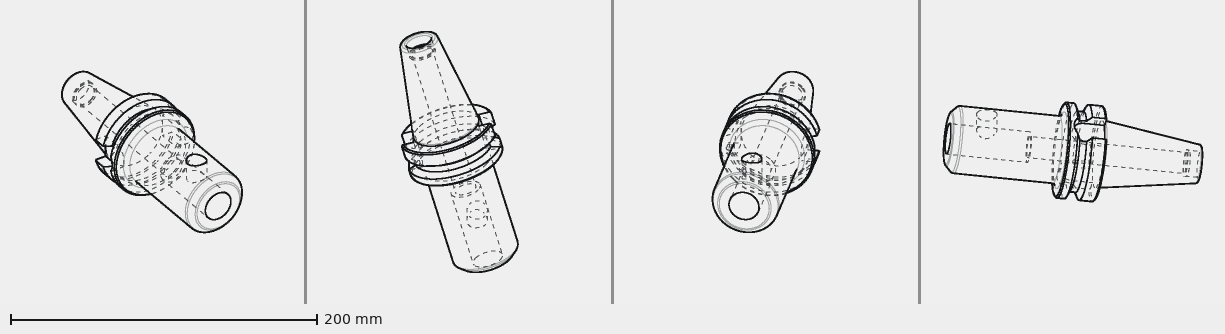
import cadquery as cq
import math

length = 167.0
taper_end = 65.6
flange_start = 67.1
groove_start = 76.8
groove_floor_start = 79.7
groove_floor_end = 84.2
groove_end = 86.7
flange_end = 92.5

body_diameter = 44.5
flange_diameter = 63.0
groove_diameter = 53.1
taper_rate = 7 / 24

small_end_fillet = 1.7
flange_chamfer = 1.0
root_fillet = 3.0
nose_chamfer = 4.8
nose_fillet = 2.0
end_face_fillet = 1.7

pilot_diameter = 17.0
pilot_depth = 7.0
mouth_fillet = 1.0
pilot_cone_length = 0.8
pilot_cone_diameter = 16.5
recess_diameter = 17.5
recess_end = 9.4
through_diameter = 13.9
shank_bore_diameter = 20.0
shank_bore_depth = 53.5
screw_hole_diameter = 13.4
screw_hole_x = 141.5

slot_width = 16.0
slot_end = 89.0

body_radius = body_diameter / 2
flange_radius = flange_diameter / 2
groove_radius = groove_diameter / 2
small_end_radius = body_radius - taper_end * taper_rate / 2


def revolve_about_x(profile):
    return profile.close().revolve(360, (0, 0, 0), (1, 0, 0))


def make_body():
    """Taper, grooved flange and cylindrical holder, turned as one solid."""
    root_radius = body_radius + root_fillet
    root_mid_offset = root_fillet * (1 - math.sqrt(0.5))
    profile = (
        cq.Workplane("XY")
        .lineTo(0, small_end_radius)
        .lineTo(taper_end, body_radius)
        .lineTo(flange_start, body_radius)
        .lineTo(flange_start, flange_radius - flange_chamfer)
        .lineTo(flange_start + flange_chamfer, flange_radius)
        .lineTo(groove_start, flange_radius)
        .lineTo(groove_floor_start, groove_radius)
        .lineTo(groove_floor_end, groove_radius)
        .lineTo(groove_end, flange_radius)
        .lineTo(flange_end - flange_chamfer, flange_radius)
        .lineTo(flange_end, flange_radius - flange_chamfer)
        .lineTo(flange_end, root_radius)
        .threePointArc(
            (flange_end + root_mid_offset, body_radius + root_mid_offset),
            (flange_end + root_fillet, body_radius),
        )
        .lineTo(length - nose_chamfer, body_radius)
        .lineTo(length, body_radius - nose_chamfer)
        .lineTo(length, 0)
    )
    body = revolve_about_x(profile)
    body = body.faces("<X").edges().fillet(small_end_fillet)
    body = body.faces(">X").edges().fillet(end_face_fillet)
    nose_x = length - nose_chamfer
    tolerance = 0.2
    nose_edge = cq.selectors.BoxSelector(
        (nose_x - tolerance, -body_diameter, -body_diameter),
        (nose_x + tolerance, body_diameter, body_diameter),
    )
    return body.edges(nose_edge).fillet(nose_fillet)


def make_axial_bore():
    """Round-mouthed pilot, lip and recess, narrow passage and shank bore along the axis."""
    pilot_radius = pilot_diameter / 2
    recess_radius = recess_diameter / 2
    through_radius = through_diameter / 2
    shank_radius = shank_bore_diameter / 2
    shank_start = length - shank_bore_depth
    mouth_mid_offset = mouth_fillet * (1 - math.sqrt(0.5))
    cone_end = pilot_depth + pilot_cone_length
    return revolve_about_x(
        cq.Workplane("XY")
        .lineTo(0, pilot_radius + mouth_fillet)
        .threePointArc(
            (mouth_mid_offset, pilot_radius + mouth_mid_offset),
            (mouth_fillet, pilot_radius),
        )
        .lineTo(pilot_depth, pilot_radius)
        .lineTo(cone_end, pilot_cone_diameter / 2)
        .lineTo(cone_end, recess_radius)
        .lineTo(recess_end, recess_radius)
        .lineTo(recess_end, through_radius)
        .lineTo(shank_start, through_radius)
        .lineTo(shank_start, shank_radius)
        .lineTo(length, shank_radius)
        .lineTo(length, 0)
    )


def make_drive_slot(side):
    """Round-ended slot, open to the taper, with its floor at the body radius."""
    half_width = slot_width / 2
    arc_center_x = slot_end - half_width
    return (
        cq.Workplane("XZ", origin=(0, side * body_radius, 0))
        .moveTo(flange_start, -half_width)
        .lineTo(arc_center_x, -half_width)
        .threePointArc((slot_end, 0), (arc_center_x, half_width))
        .lineTo(flange_start, half_width)
        .close()
        .extrude(-side * flange_radius)
    )


def make_screw_hole():
    """Clamping screw hole from the +Z side into the shank bore."""
    return (
        cq.Workplane("XY")
        .center(screw_hole_x, 0)
        .circle(screw_hole_diameter / 2)
        .extrude(body_diameter)
    )


result = make_body().cut(make_axial_bore()).cut(make_screw_hole())
for slot_side in (-1, 1):
    result = result.cut(make_drive_slot(slot_side))